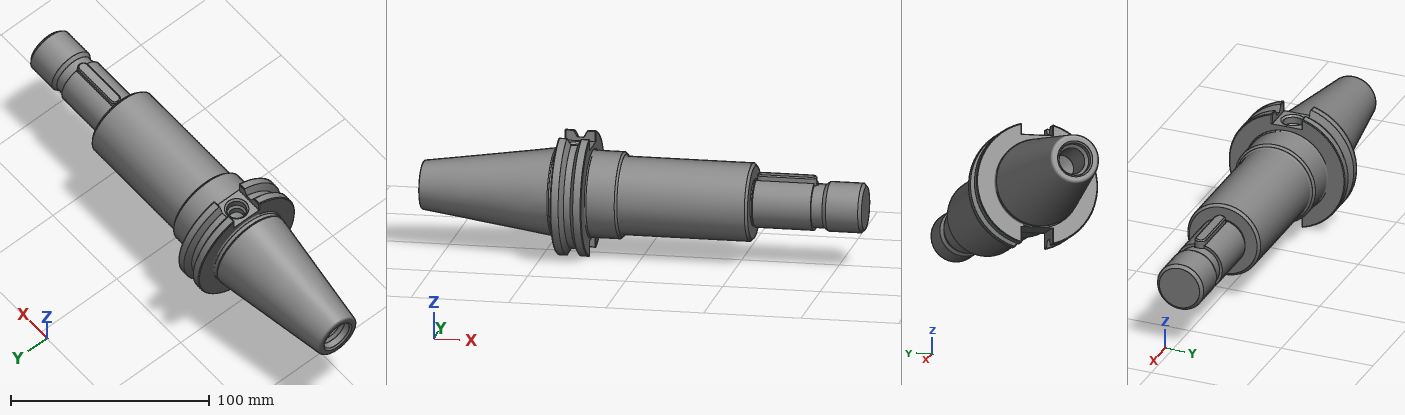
import cadquery as cq
import math

LENGTH = 227.0

GAUGE_DIAMETER = 44.5
TAPER_SLOPE = 7 / 48
TAPER_END_X = 67.9
TIP_FILLET = 1.4
RELIEF_DIAMETER = 44.0
RELIEF_CHAMFER_LENGTH = 0.7

ROOT_FILLET = 0.7

FLANGE_START_X = 71.3
FLANGE_DIAMETER = 63.3
FLANGE_WIDTH = 16.0
FLANGE_END_X = FLANGE_START_X + FLANGE_WIDTH
FLANGE_MIDDLE_X = FLANGE_START_X + FLANGE_WIDTH / 2
FLANGE_CHAMFER = 0.5
GROOVE_FLOOR_DIAMETER = 56.3
GROOVE_FLOOR_WIDTH = 3.5
GROOVE_HALF_ANGLE = 30.0

SLOT_WIDTH = 16.1
UPPER_SLOT_FLOOR = 25.0
LOWER_SLOT_FLOOR = 22.2

SCREW_MOUTH_DIAMETER = 12.3
SCREW_BORE_DIAMETER = 10.2
SCREW_BORE_DEPTH = 4.5
SCREW_THREAD_DIAMETER = 8.0
SCREW_THREAD_DEPTH = 9.0

COLLAR_DIAMETER = 44.0
COLLAR_END_X = 103.5
COLLAR_CHAMFER = 1.1
BARREL_DIAMETER = 39.7
BARREL_END_X = 170.0
BARREL_CHAMFER = 1.4

UNDERCUT_DIAMETER = 23.8
UNDERCUT_WIDTH = 0.7
PILOT_DIAMETER = 25.2
PILOT_END_X = 201.1
NECK_DIAMETER = 22.2
NECK_END_X = 206.8
END_LEAD_IN = 2.0
END_CHAMFER = 1.5

MOUTH_DIAMETER = 18.5
BORE_DIAMETER = 16.5
BORE_DEPTH = 4.5
THREAD_DIAMETER = 13.5
THREAD_DEPTH = 27.2
DRILL_POINT_ANGLE = 118.0

KEY_WIDTH = 6.0
KEY_LENGTH = 30.5
KEY_END_X = 202.0
KEY_TOP = 15.2
KEY_FLOOR = 9.5
KEY_CHAMFER = 0.7
SEAT_LENGTH = 32.7
SEAT_END_X = 202.7

TOLERANCE = 0.0002


def drill_point_length(diameter):
    return diameter / 2 / math.tan(math.radians(DRILL_POINT_ANGLE / 2))


def revolve_about_x(points):
    return cq.Workplane("XY").polyline(points).close().revolve(360, (0, 0, 0), (1, 0, 0))


def tapered_shank():
    gauge_radius = GAUGE_DIAMETER / 2
    cone = revolve_about_x([
        (0, 0),
        (0, gauge_radius - TAPER_END_X * TAPER_SLOPE),
        (TAPER_END_X, gauge_radius),
        (TAPER_END_X + RELIEF_CHAMFER_LENGTH, RELIEF_DIAMETER / 2),
        (FLANGE_START_X, RELIEF_DIAMETER / 2),
        (FLANGE_START_X, 0),
    ])
    return cone.faces("<X").edges().fillet(TIP_FILLET)


def root_fillet(shoulder_x, diameter, side):
    """Ring filling the corner between a cylinder and a shoulder; side is the ring's X direction."""
    radius = diameter / 2
    middle = ROOT_FILLET * (1 - math.sqrt(0.5))
    return (
        cq.Workplane("XY")
        .moveTo(shoulder_x, radius - ROOT_FILLET)
        .lineTo(shoulder_x, radius + ROOT_FILLET)
        .threePointArc(
            (shoulder_x + side * middle, radius + middle),
            (shoulder_x + side * ROOT_FILLET, radius),
        )
        .lineTo(shoulder_x + side * ROOT_FILLET, radius - ROOT_FILLET)
        .close()
        .revolve(360, (0, 0, 0), (1, 0, 0))
    )


def drive_slot(floor, side):
    """Cutter for a drive slot; side is +1 for the upper slot and -1 for the lower one."""
    length = FLANGE_WIDTH + 2 * ROOT_FILLET
    height = FLANGE_DIAMETER / 2 - floor
    return cq.Workplane("XY").box(length, SLOT_WIDTH, height).translate(
        (FLANGE_MIDDLE_X, 0, side * (floor + height / 2))
    )


def groove():
    """Ring cutter for the V-groove, widened at the same angle until it clears the rim."""
    floor_radius = GROOVE_FLOOR_DIAMETER / 2
    outer_radius = FLANGE_DIAMETER / 2 + FLANGE_CHAMFER
    half_floor = GROOVE_FLOOR_WIDTH / 2
    half_mouth = half_floor + (outer_radius - floor_radius) * math.tan(math.radians(GROOVE_HALF_ANGLE))
    return revolve_about_x([
        (FLANGE_MIDDLE_X - half_mouth, outer_radius),
        (FLANGE_MIDDLE_X - half_floor, floor_radius),
        (FLANGE_MIDDLE_X + half_floor, floor_radius),
        (FLANGE_MIDDLE_X + half_mouth, outer_radius),
    ])


def is_rim_or_slot_wall_edge(edge):
    center = edge.Center()
    on_wall = math.isclose(abs(center.y), SLOT_WIDTH / 2, abs_tol=TOLERANCE)
    on_floor = any(
        math.isclose(center.z, floor, abs_tol=TOLERANCE)
        for floor in (UPPER_SLOT_FLOOR, -LOWER_SLOT_FLOOR)
    )
    start = edge.startPoint()
    on_rim = math.isclose(math.hypot(start.y, start.z), FLANGE_DIAMETER / 2, abs_tol=TOLERANCE)
    return (on_wall or on_rim) and not on_floor


def flange():
    disc = (
        cq.Workplane("YZ", origin=(FLANGE_START_X, 0, 0))
        .circle(FLANGE_DIAMETER / 2)
        .extrude(FLANGE_WIDTH)
        .cut(drive_slot(UPPER_SLOT_FLOOR, 1))
        .cut(drive_slot(LOWER_SLOT_FLOOR, -1))
    )
    edges = [edge for edge in disc.edges().vals() if is_rim_or_slot_wall_edge(edge)]
    return disc.newObject(edges).chamfer(FLANGE_CHAMFER).cut(groove())


def flange_root_fillets():
    """Fillet rings on both faces of the flange, trimmed where the slots run past them."""
    return (
        root_fillet(FLANGE_START_X, RELIEF_DIAMETER, -1)
        .union(root_fillet(FLANGE_END_X, COLLAR_DIAMETER, 1))
        .cut(drive_slot(UPPER_SLOT_FLOOR, 1))
        .cut(drive_slot(LOWER_SLOT_FLOOR, -1))
    )


def chamfered_cylinder(start_x, end_x, diameter, chamfer):
    """Solid cylinder along X, chamfered at its far end."""
    cylinder = cq.Workplane("YZ", origin=(start_x, 0, 0)).circle(diameter / 2).extrude(end_x - start_x)
    return cylinder.faces(">X").chamfer(chamfer)


def pilot_shaft():
    undercut_radius = UNDERCUT_DIAMETER / 2
    pilot_radius = PILOT_DIAMETER / 2
    neck_radius = NECK_DIAMETER / 2
    undercut_end_x = BARREL_END_X + UNDERCUT_WIDTH
    return revolve_about_x([
        (BARREL_END_X, 0),
        (BARREL_END_X, undercut_radius),
        (undercut_end_x, undercut_radius),
        (undercut_end_x + pilot_radius - undercut_radius, pilot_radius),
        (PILOT_END_X, pilot_radius),
        (PILOT_END_X, neck_radius),
        (NECK_END_X, neck_radius),
        (NECK_END_X + END_LEAD_IN, pilot_radius),
        (LENGTH - END_CHAMFER, pilot_radius),
        (LENGTH, pilot_radius - END_CHAMFER),
        (LENGTH, 0),
    ])


def arbor_blank():
    return (
        tapered_shank()
        .union(flange())
        .union(chamfered_cylinder(FLANGE_END_X, COLLAR_END_X, COLLAR_DIAMETER, COLLAR_CHAMFER))
        .union(chamfered_cylinder(COLLAR_END_X, BARREL_END_X, BARREL_DIAMETER, BARREL_CHAMFER))
        .union(pilot_shaft())
        .union(flange_root_fillets())
        .union(root_fillet(COLLAR_END_X, BARREL_DIAMETER, 1))
    )


def stepped_bore(mouth_diameter, bore_diameter, bore_depth, thread_diameter, thread_depth):
    """Cutter running along +X from the origin: chamfer, bore, 45-degree step, thread hole, drill point."""
    mouth_chamfer = (mouth_diameter - bore_diameter) / 2
    step = (bore_diameter - thread_diameter) / 2
    return revolve_about_x([
        (0, 0),
        (0, mouth_diameter / 2),
        (mouth_chamfer, bore_diameter / 2),
        (bore_depth, bore_diameter / 2),
        (bore_depth + step, thread_diameter / 2),
        (thread_depth, thread_diameter / 2),
        (thread_depth + drill_point_length(thread_diameter), 0),
    ])


def shank_bore():
    return stepped_bore(MOUTH_DIAMETER, BORE_DIAMETER, BORE_DEPTH, THREAD_DIAMETER, THREAD_DEPTH)


def screw_hole():
    cutter = stepped_bore(
        SCREW_MOUTH_DIAMETER,
        SCREW_BORE_DIAMETER,
        SCREW_BORE_DEPTH,
        SCREW_THREAD_DIAMETER,
        SCREW_THREAD_DEPTH,
    )
    pointing_down = cutter.rotate((0, 0, 0), (0, 1, 0), 90)
    return pointing_down.translate((FLANGE_MIDDLE_X, 0, UPPER_SLOT_FLOOR))


def key_shape(end_x, length):
    """Round-ended bar along X, standing on the floor of the key seat."""
    return (
        cq.Workplane("XY", origin=(end_x - length / 2, 0, KEY_FLOOR))
        .slot2D(length, KEY_WIDTH)
        .extrude(KEY_TOP - KEY_FLOOR)
    )


def key_seat():
    return key_shape(SEAT_END_X, SEAT_LENGTH)


def make_arbor():
    return (
        arbor_blank()
        .cut(shank_bore())
        .cut(screw_hole())
        .cut(key_seat())
    )


def make_key():
    return key_shape(KEY_END_X, KEY_LENGTH).faces(">Z").chamfer(KEY_CHAMFER)


arbor = make_arbor()
key = make_key()
result = cq.Compound.makeCompound([arbor.val(), key.val()])